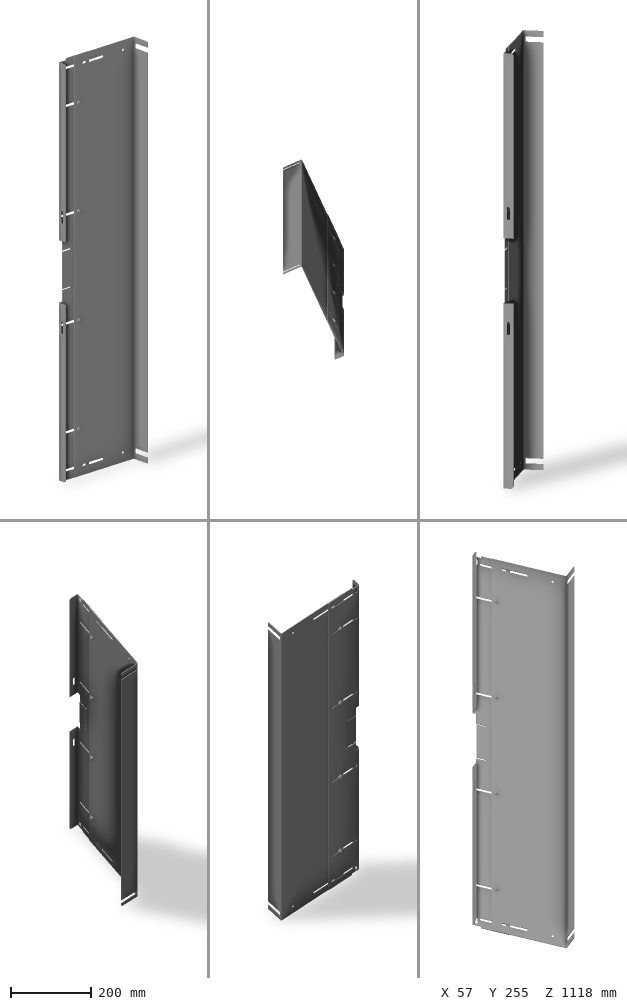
import cadquery as cq
import math

panel_length = 1118.0
panel_width = 255.0
panel_depth = 57.0

sheet = 1.5
bend_inner_radius = 1.3
bend_outer_radius = bend_inner_radius + sheet
web_corner_radius = 3.0
through = 11.0

head_height = 4.1
head_diameter = 13.0
head_rim = 1.0
head_flat_diameter = 6.0
socket_across_flats = 5.0
socket_depth = 2.0
shank_diameter = 6.0
shank_end_x = 13.0
nut_across_flats = 10.0
nut_end_x = 10.0
screw_y = 65.0
screw_pitch = 288.0
screw_count = 4
screw_heights = [(i - (screw_count - 1) / 2) * screw_pitch for i in range(screw_count)]

cover_x = head_height
cover_back_x = cover_x + sheet
cover_web_end_y = 102.0
cover_flange_end_x = 30.0
end_step_y = 25.0
end_step_depth = 5.0
flange_corner_radius = 8.0

back_x = cover_back_x
back_web_end_y = 51.0
back_inside_x = back_x + sheet

slot_width = 7.0
end_row_z = 533.0
cover_slot_start_y = 92.0
screw_slot_end_y = 8.0
end_slot_end_y = 21.0
back_slot_start_y = 79.0
back_slot_end_y = 150.0
back_hole_y = 217.0
corner_slot_y = 11.0
corner_slot_width = 6.1
corner_slot_inner_z = 530.0
corner_slot_outer_z = 549.0
flange_slot_x = 17.0
flange_slot_z = 146.0
flange_slot_length = 34.0

notch_half_length = 83.0
notch_y = 11.0
tongue_root_y = 45.0
tongue_press = 0.7
recess_half_length = 53.0
tongue_half_length = 49.0
slit_end_y = 38.0

tab_length = 16.0
tab_slot_width = 13.0
tab_slot_x = 11.0
tab_corner_radius = 3.0


def box(x0, x1, y0, y1, z0, z1):
    """Box between two opposite corners."""
    return cq.Workplane("XY").box(x1 - x0, y1 - y0, z1 - z0, centered=False).translate((x0, y0, z0))


def bent_sheet(face_x, web_end_y, bend_y, flange_end_x):
    """L-shaped sheet: a web in YZ, bent at bend_y into a flange that runs along +X."""
    inward = 1 if web_end_y > bend_y else -1
    inside_x = face_x + sheet
    inside_y = bend_y + inward * sheet
    tangent_x = face_x + bend_outer_radius
    tangent_y = bend_y + inward * bend_outer_radius
    diagonal = math.sqrt(0.5)

    def bend_middle(radius):
        return tangent_x - radius * diagonal, tangent_y - inward * radius * diagonal

    return (
        cq.Workplane("XY", origin=(0, 0, -panel_length / 2))
        .moveTo(face_x, web_end_y)
        .lineTo(face_x, tangent_y)
        .threePointArc(bend_middle(bend_outer_radius), (tangent_x, bend_y))
        .lineTo(flange_end_x, bend_y)
        .lineTo(flange_end_x, inside_y)
        .lineTo(tangent_x, inside_y)
        .threePointArc(bend_middle(bend_inner_radius), (inside_x, tangent_y))
        .lineTo(inside_x, web_end_y)
        .close()
        .extrude(panel_length)
    )


def web_slot(y0, y1, z):
    """Cutter for a round-ended slot along Y in a web."""
    return (
        cq.Workplane("YZ")
        .center((y0 + y1) / 2, z)
        .slot2D(y1 - y0, slot_width)
        .extrude(through, both=True)
    )


def web_hole(y, z, diameter):
    """Cutter for a round hole in a web."""
    return cq.Workplane("YZ").center(y, z).circle(diameter / 2).extrude(through, both=True)


def corner_slot(side):
    """Cutter for the slot along Z at one end of the cover's bend."""
    middle_z = side * (corner_slot_inner_z + corner_slot_outer_z) / 2
    return (
        cq.Workplane("YZ")
        .center(corner_slot_y, middle_z)
        .slot2D(corner_slot_outer_z - corner_slot_inner_z, corner_slot_width, 90)
        .extrude(through, both=True)
    )


def flange_slot(side):
    """Cutter for the slot along Z in the cover's flange."""
    return (
        cq.Workplane("XZ")
        .center(flange_slot_x, side * flange_slot_z)
        .slot2D(flange_slot_length, slot_width, 90)
        .extrude(through, both=True)
    )


def press_tongue(cover):
    """Press a tongue at the notch edge backwards and free its two sides with slits."""
    half = recess_half_length
    front_recess = box(cover_x, cover_x + tongue_press, notch_y, tongue_root_y, -half, half)
    back_bulge = box(cover_back_x, cover_back_x + tongue_press, notch_y, tongue_root_y, -half, half)
    cover = cover.union(back_bulge).cut(front_recess)
    slit_width = recess_half_length - tongue_half_length
    for slit_z in (tongue_half_length, -recess_half_length):
        cover = cover.cut(box(0, through, notch_y, slit_end_y, slit_z, slit_z + slit_width))
    return cover


def make_cover():
    cover = bent_sheet(cover_x, cover_web_end_y, 0, cover_flange_end_x)
    cover = cover.edges("|X and >Y").fillet(web_corner_radius)
    end_z = panel_length / 2
    for z0 in (end_z - end_step_depth, -end_z):
        cover = cover.cut(box(0, panel_depth, 0, end_step_y, z0, z0 + end_step_depth))
    cover = cover.edges("|Y and >X").fillet(flange_corner_radius)
    cover = cover.cut(box(0, panel_depth, 0, notch_y, -notch_half_length, notch_half_length))
    cover = press_tongue(cover)
    for z in screw_heights:
        cover = cover.cut(web_slot(screw_slot_end_y, cover_slot_start_y, z))
    for side in (1, -1):
        cover = cover.cut(web_slot(end_slot_end_y, cover_slot_start_y, side * end_row_z))
        cover = cover.cut(corner_slot(side))
        cover = cover.cut(flange_slot(side))
    return cover


def make_back():
    back = bent_sheet(back_x, back_web_end_y, panel_width, panel_depth)
    slot_outer_z = panel_length / 2 - tab_length
    for z0 in (slot_outer_z - tab_slot_width, -slot_outer_z):
        back = back.cut(
            box(tab_slot_x, panel_depth, back_web_end_y, panel_width, z0, z0 + tab_slot_width)
        )
    back = back.edges("|X and <Y").fillet(web_corner_radius)
    back = back.edges("|Y and >X").edges(">Z or <Z").fillet(tab_corner_radius)
    for side in (1, -1):
        back = back.cut(web_slot(back_slot_start_y, back_slot_end_y, side * end_row_z))
        back = back.cut(web_hole(back_hole_y, side * end_row_z, slot_width))
    for z in screw_heights:
        back = back.cut(web_hole(screw_y, z, shank_diameter))
    return back


def make_screw(z):
    """Domed head with a hexagon socket on a plain shank, turned about the X axis."""
    head_radius = head_diameter / 2
    shank_radius = shank_diameter / 2
    flat_radius = head_flat_diameter / 2
    dome_height = head_height - head_rim
    turned = (
        cq.Workplane("XY")
        .moveTo(0, 0)
        .lineTo(0, flat_radius)
        .tangentArcPoint((dome_height, head_radius), relative=False)
        .lineTo(head_height, head_radius)
        .lineTo(head_height, shank_radius)
        .lineTo(shank_end_x, shank_radius)
        .lineTo(shank_end_x, 0)
        .close()
        .revolve(360, (0, 0, 0), (1, 0, 0))
    )
    socket = cq.Workplane("YZ").polygon(6, socket_across_flats, circumscribed=True).extrude(socket_depth)
    return turned.cut(socket).translate((0, screw_y, z))


def make_nut(z):
    return (
        cq.Workplane("YZ", origin=(back_inside_x, screw_y, z))
        .polygon(6, nut_across_flats, circumscribed=True)
        .circle(shank_diameter / 2)
        .extrude(nut_end_x - back_inside_x)
    )


cover = make_cover()
back = make_back()
screws = [make_screw(z) for z in screw_heights]
nuts = [make_nut(z) for z in screw_heights]

fasteners = [body.val() for body in screws + nuts]
result = cq.Compound.makeCompound([cover.val(), back.val(), *fasteners])